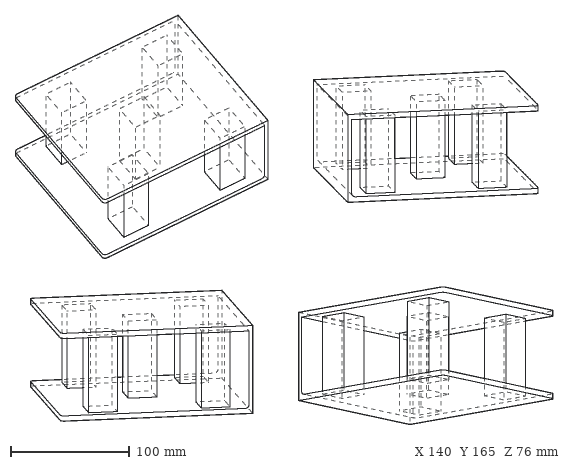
import cadquery as cq

width = 140.0
depth = 165.0
height = 76.0

plate_thickness = 4.6
back_wall_thickness = 3.3
front_corner_radius = 3.3
inner_fillet_radius = 3.3

post_side = 24.8
left_post_x = 10.2
right_post_x = 107.0
front_post_y = 25.4
back_post_y = 122.3
middle_post_x = (width - post_side) / 2
middle_post_y = 68.8

post_corners = [
    (left_post_x, front_post_y),
    (right_post_x, front_post_y),
    (middle_post_x, middle_post_y),
    (left_post_x, back_post_y),
    (right_post_x, back_post_y),
]

gap_height = height - 2 * plate_thickness
gap_depth = depth - back_wall_thickness


def corner_box(size_x, size_y, size_z):
    """Box with its minimum corner at the origin."""
    return cq.Workplane("XY").box(size_x, size_y, size_z, centered=False)


def make_housing():
    """Two plates and a back wall, with rounded front corners and a fillet at the floor of the wall."""
    block = corner_box(width, depth, height).edges("|Z and <Y").fillet(front_corner_radius)
    gap = (
        corner_box(width, gap_depth, gap_height)
        .edges("|X and >Y and <Z")
        .fillet(inner_fillet_radius)
        .translate((0, 0, plate_thickness))
    )
    return block.cut(gap)


def make_post(x, y):
    """Square post filling the gap between the plates."""
    return corner_box(post_side, post_side, gap_height).translate((x, y, plate_thickness))


result = make_housing()
for post_x, post_y in post_corners:
    result = result.union(make_post(post_x, post_y))